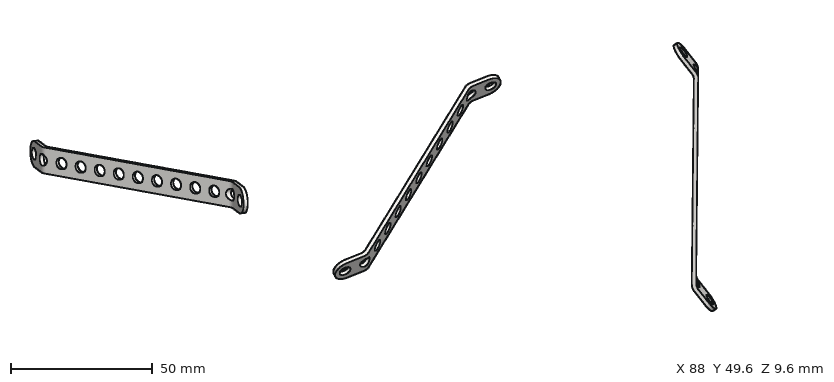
import cadquery as cq
import math

length = 88.0
depth = 49.6
width = 9.6
thickness = 1.6
hole_diameter = 4.2
hole_pitch = 8.0
end_hole_inset = 4.0
bend_inset = 12.3
bend_radius = 4.0
sloped_hole_count = 9

half_length = length / 2
half_depth = depth / 2
bend_x = half_length - bend_inset
bend_y = half_depth - thickness / 2
slope_angle = math.atan2(bend_y, bend_x)
corner_shift = thickness / 2 * math.tan(slope_angle / 2)


def make_bent_strip():
    """Constant-thickness Z-shaped strip with rounded bends."""
    inner_x = bend_x + corner_shift
    outer_x = bend_x - corner_shift
    inner_y = half_depth - thickness
    profile = [
        (-half_length, -half_depth),
        (-outer_x, -half_depth),
        (inner_x, inner_y),
        (half_length, inner_y),
        (half_length, half_depth),
        (outer_x, half_depth),
        (-inner_x, -inner_y),
        (-half_length, -inner_y),
    ]
    strip = cq.Workplane("XY").polyline(profile).close().extrude(width / 2, both=True)
    bend_zone = cq.selectors.BoxSelector(
        (-inner_x - thickness, -depth, -width),
        (inner_x + thickness, depth, width),
    )
    return strip.edges("|Z").edges(bend_zone).fillet(bend_radius)


def make_round_ended_outline():
    """Full-depth block whose semicircular ends round off the tabs."""
    return cq.Workplane("XZ").slot2D(length, width).extrude(depth, both=True)


def make_tab_holes():
    """Holes along Y: one near each tab end and one pitch further in, at the bend."""
    end_hole_x = half_length - end_hole_inset
    bend_hole_x = end_hole_x - hole_pitch
    centers = [(side * x, 0) for side in (-1, 1) for x in (end_hole_x, bend_hole_x)]
    return (
        cq.Workplane("XZ").pushPoints(centers)
        .circle(hole_diameter / 2).extrude(depth, both=True)
    )


def make_sloped_holes():
    """Evenly spaced holes square to the sloping middle section."""
    slope_plane = cq.Plane(
        origin=(0, 0, 0),
        xDir=(math.cos(slope_angle), math.sin(slope_angle), 0),
        normal=(math.sin(slope_angle), -math.cos(slope_angle), 0),
    )
    return (
        cq.Workplane(slope_plane).rarray(hole_pitch, 0.9, sloped_hole_count, 1)
        .circle(hole_diameter / 2).extrude(thickness, both=True)
    )


strip = make_bent_strip().intersect(make_round_ended_outline())
strip = strip.cut(make_tab_holes()).cut(make_sloped_holes())

result = strip.translate((half_length, half_depth, width / 2))